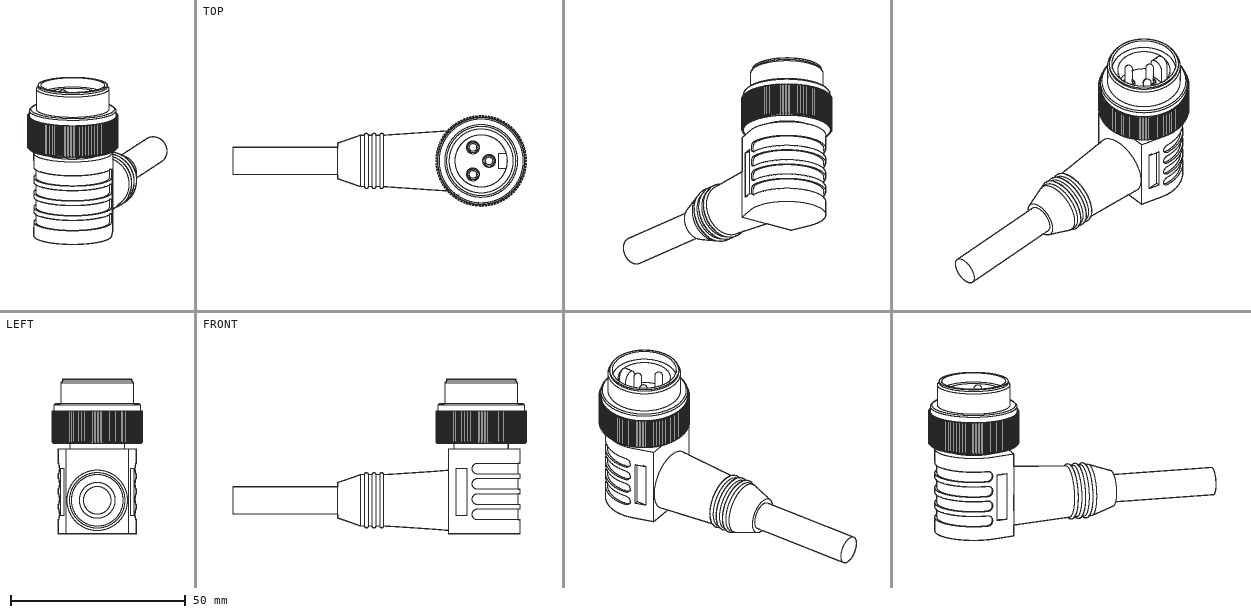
import cadquery as cq
import math


total_length = 84
nut_diameter = 25.95

housing_height = 24.3
housing_radius = 11.2
housing_back_x = -9.4
housing_back_half_width = 8.9
flank_end_x = -2.85
flank_end_y = math.sqrt(housing_radius**2 - flank_end_x**2)

groove_count = 4
groove_height = 3.0
groove_pitch = 4.4
groove_depth = 0.6
groove_end_x = -2.6
lowest_groove_z = 5.55

pocket_x_min = -7.1
pocket_x_max = -4.0
pocket_z_min = 5.3
pocket_z_max = 18.7
pocket_floor_y = 9.5

cable_axis_z = 9.6
cable_radius = 3.95
cable_end_x = nut_diameter / 2 - total_length
boot_end_x = -41.1
boot_end_radius = 5.1
boot_waist_x = -34.5
boot_waist_radius = 7.4
boot_root_radius = 8.65
rib_first_x = -32.85
rib_pitch = 2.2
rib_count = 3
rib_radius = 0.55

neck_radius = 7.8
nut_bottom_z = 25.8
knurl_top_z = 35.2
knurl_tip_radius = nut_diameter / 2
tooth_depth = 0.5
knurl_root_radius = knurl_tip_radius - tooth_depth
knurl_chamfer = 0.5
tooth_count = 90
collar_radius = 12.4
collar_top_z = 37.2
collar_chamfer = 0.4

sleeve_radius = 10.4
sleeve_top_z = 44.3
lip_radius = 9.9
lip_height = 0.5
lip_shoulder_z = 43.2
rim_bore_radius = 9.15
rim_ledge_z = 41.6
socket_radius = 7.5
socket_floor_z = 34.6

pin_radius = 1.1
pin_tip_z = 42.0
pin_boss_radius = 1.85
pin_boss_height = 0.75
pin_boss_chamfer = 0.3
pin_positions = [(2.3, 0), (-2.35, 3.9), (-2.35, -3.9)]

key_inner_x = 4.95
key_outer_x = rim_bore_radius
key_half_width = 2.2
key_top_z = rim_ledge_z


def box_between(x_min, x_max, y_min, y_max, z_min, z_max):
    size = (x_max - x_min, y_max - y_min, z_max - z_min)
    return cq.Workplane("XY").box(*size, centered=False).translate((x_min, y_min, z_min))


def cylinder(radius, z_min, z_max):
    return cq.Workplane("XY").workplane(offset=z_min).circle(radius).extrude(z_max - z_min)


def make_housing():
    """Flat-backed block with tapered flanks, rounded end, grooves and pockets."""
    body = (
        cq.Workplane("XY")
        .moveTo(housing_back_x, -housing_back_half_width)
        .lineTo(flank_end_x, -flank_end_y)
        .threePointArc((housing_radius, 0), (flank_end_x, flank_end_y))
        .lineTo(housing_back_x, housing_back_half_width)
        .close()
        .extrude(housing_height)
    )
    for index in range(groove_count):
        body = body.cut(make_groove(lowest_groove_z + index * groove_pitch))

    pocket = box_between(
        pocket_x_min, pocket_x_max, pocket_floor_y, housing_radius, pocket_z_min, pocket_z_max
    )
    return body.cut(pocket).cut(pocket.mirror("XZ"))


def make_groove(center_z):
    """Band around the round end, cut short by a rounded outline seen along Y."""
    half_height = groove_height / 2
    outside = 2 * housing_radius
    band = cylinder(outside, center_z - half_height, center_z + half_height).cut(
        cylinder(housing_radius - groove_depth, center_z - half_height, center_z + half_height)
    )
    end_center_x = groove_end_x + half_height
    outline = (
        cq.Workplane("XZ")
        .moveTo(outside, center_z - half_height)
        .lineTo(end_center_x, center_z - half_height)
        .threePointArc((groove_end_x, center_z), (end_center_x, center_z + half_height))
        .lineTo(outside, center_z + half_height)
        .close()
        .extrude(outside, both=True)
    )
    return band.intersect(outline)


def make_cable_and_boot():
    """Turned about the cable axis; ribs are half-round beads on the boot waist."""
    profile = (
        cq.Workplane("XY")
        .moveTo(cable_end_x, 0)
        .lineTo(cable_end_x, cable_radius)
        .lineTo(boot_end_x, cable_radius)
        .lineTo(boot_end_x, boot_end_radius)
        .lineTo(boot_waist_x, boot_waist_radius)
    )
    for index in range(rib_count):
        rib_x = rib_first_x + index * rib_pitch
        profile = profile.lineTo(rib_x - rib_radius, boot_waist_radius).threePointArc(
            (rib_x, boot_waist_radius + rib_radius), (rib_x + rib_radius, boot_waist_radius)
        )
    turned = (
        profile.lineTo(housing_back_x, boot_root_radius)
        .lineTo(housing_back_x, 0)
        .close()
        .revolve(360, (0, 0, 0), (1, 0, 0))
    )
    return turned.translate((0, 0, cable_axis_z))


def make_knurl():
    """Square-toothed ring, chamfered along its lower edge."""
    quarter_pitch = math.pi / tooth_count / 2
    corners = []
    for index in range(tooth_count):
        tooth_angle = 2 * math.pi * index / tooth_count
        for radius, offset in (
            (knurl_root_radius, -quarter_pitch),
            (knurl_tip_radius, -quarter_pitch),
            (knurl_tip_radius, quarter_pitch),
            (knurl_root_radius, quarter_pitch),
        ):
            angle = tooth_angle + offset
            corners.append((radius * math.cos(angle), radius * math.sin(angle)))
    height = knurl_top_z - nut_bottom_z
    base = cq.Workplane("XY").workplane(offset=nut_bottom_z)
    teeth = base.polyline(corners).close().extrude(height)
    envelope = cylinder(knurl_tip_radius, nut_bottom_z, knurl_top_z).faces("<Z").chamfer(knurl_chamfer)
    return teeth.intersect(envelope)


def make_sleeve_blank():
    """Neck, collar and stepped sleeve turned about Z, still solid inside."""
    return (
        cq.Workplane("XZ")
        .moveTo(0, housing_height)
        .lineTo(neck_radius, housing_height)
        .lineTo(neck_radius, knurl_top_z)
        .lineTo(collar_radius, knurl_top_z)
        .lineTo(collar_radius, collar_top_z - collar_chamfer)
        .lineTo(collar_radius - collar_chamfer, collar_top_z)
        .lineTo(sleeve_radius, collar_top_z)
        .lineTo(sleeve_radius, lip_shoulder_z)
        .lineTo(lip_radius, sleeve_top_z - lip_height)
        .lineTo(lip_radius, sleeve_top_z)
        .lineTo(0, sleeve_top_z)
        .close()
        .revolve(360, (0, 0, 0), (0, 1, 0))
    )


def cut_socket(body):
    """Bore the pin socket and the wider step inside the rim."""
    body = body.cut(cylinder(socket_radius, socket_floor_z, sleeve_top_z))
    return body.cut(cylinder(rim_bore_radius, rim_ledge_z, sleeve_top_z))


def make_pin():
    """Ball-ended pin on its boss, standing on the socket floor at the Z axis."""
    pin = cylinder(pin_radius, socket_floor_z, pin_tip_z - pin_radius)
    tip = cq.Workplane("XY").sphere(pin_radius).translate((0, 0, pin_tip_z - pin_radius))
    boss = cylinder(pin_boss_radius, socket_floor_z, socket_floor_z + pin_boss_height)
    return pin.union(tip).union(boss.faces(">Z").chamfer(pin_boss_chamfer))


def make_key():
    """Round-topped block along X, running into the socket wall."""
    spring_z = key_top_z - key_half_width
    return (
        cq.Workplane("YZ")
        .workplane(offset=key_inner_x)
        .moveTo(-key_half_width, socket_floor_z)
        .lineTo(-key_half_width, spring_z)
        .threePointArc((0, key_top_z), (key_half_width, spring_z))
        .lineTo(key_half_width, socket_floor_z)
        .close()
        .extrude(key_outer_x - key_inner_x)
    )


plug = cut_socket(make_sleeve_blank().union(make_knurl()))
for pin_x, pin_y in pin_positions:
    plug = plug.union(make_pin().translate((pin_x, pin_y, 0)))
plug = plug.union(make_key())

result = make_housing().union(make_cable_and_boot()).union(plug)